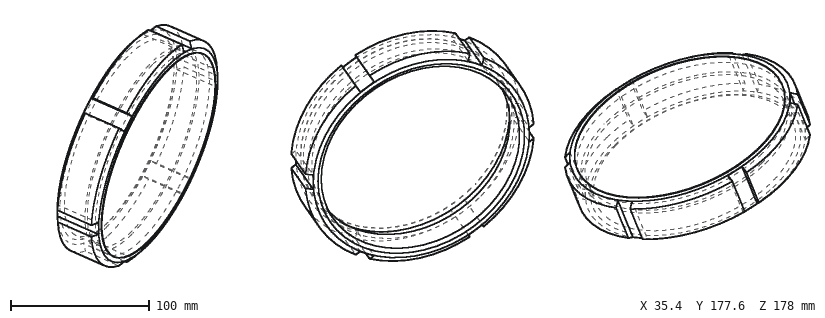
import cadquery as cq

outer_radius = 89.0
body_width = 34.9
rim_face_radius = 84.0
rim_chamfer_length = 3.2

pad_radius = 80.3
pad_height = 0.5

bore_radius = 154.3 / 2
mouth_radius = 160.7 / 2
mouth_chamfer_length = 1.8
bore_depth = 29.9
undercut_radius = mouth_radius
undercut_width = 8.9

slot_count = 6
slot_width = 12.5
slot_floor_distance = 84.0


def revolve_about_x(points):
    """Turn a closed (x, radius) profile about the X axis."""
    return cq.Workplane("XY").polyline(points).close().revolve(360, (0, 0, 0), (1, 0, 0))


def make_body():
    return revolve_about_x([
        (0, 0),
        (0, rim_face_radius),
        (rim_chamfer_length, outer_radius),
        (body_width - rim_chamfer_length, outer_radius),
        (body_width, rim_face_radius),
        (body_width, pad_radius),
        (body_width + pad_height, pad_radius),
        (body_width + pad_height, 0),
    ])


def make_cavity():
    undercut_start = bore_depth - undercut_width
    return revolve_about_x([
        (0, 0),
        (0, mouth_radius),
        (mouth_chamfer_length, bore_radius),
        (undercut_start, bore_radius),
        (undercut_start, undercut_radius),
        (bore_depth, undercut_radius),
        (bore_depth, 0),
    ])


def make_slot(angle):
    """Flat-floored slot across the full width, turned about X from the +Y side."""
    slot_depth = outer_radius - slot_floor_distance
    slot = cq.Workplane("XY").box(
        body_width, 2 * slot_depth, slot_width, centered=(False, False, True)
    )
    slot = slot.translate((0, slot_floor_distance, 0))
    return slot.rotate((0, 0, 0), (1, 0, 0), angle)


result = make_body().cut(make_cavity())
for index in range(slot_count):
    result = result.cut(make_slot(index * 360 / slot_count))